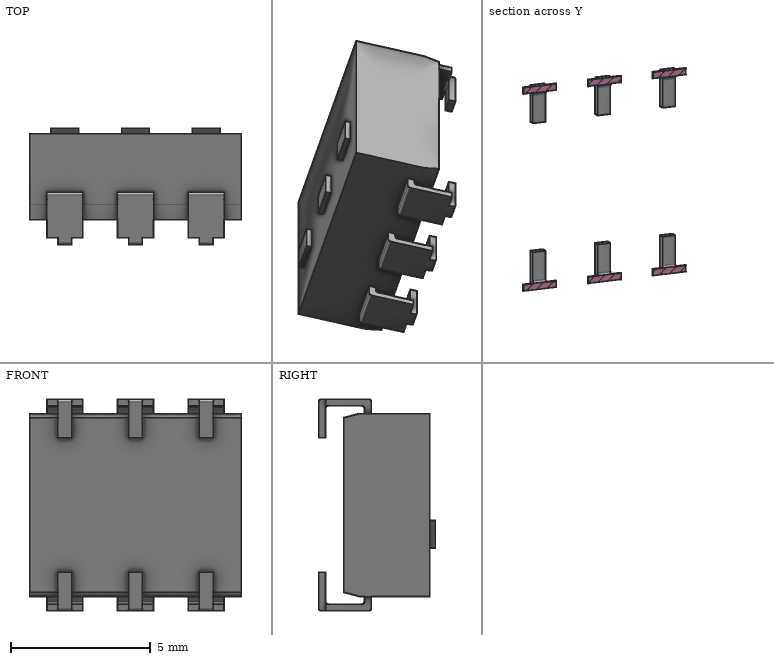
import cadquery as cq
import math

body_width = 7.62
body_depth = 3.1
body_height = 6.58
bevel_depth = 0.56
bevel_angle = 15

slider_size = 1.0
slider_height = 0.2
slider_z = -1.05

pitch = 2.54
lead_span = 7.62
lead_thickness = 0.25
lead_wide = 1.3
lead_narrow = 0.5
lead_tip_length = 1.4
lead_root_setback = 1.0
lead_standoff = 0.9
lead_embed = 0.3
bend_outer_radius = 0.1
bend_inner_radius = 0.1

column_positions = [-pitch, 0, pitch]
front_y = -body_depth / 2
back_y = body_depth / 2


def make_body():
    """Block with shallow bevels along the top and bottom of the front face."""
    half_height = body_height / 2
    bevel_rise = bevel_depth * math.tan(math.radians(bevel_angle))
    bevel_y = front_y + bevel_depth
    return (
        cq.Workplane("YZ")
        .polyline([
            (back_y, -half_height),
            (back_y, half_height),
            (bevel_y, half_height),
            (front_y, half_height - bevel_rise),
            (front_y, bevel_rise - half_height),
            (bevel_y, -half_height),
        ])
        .close()
        .extrude(body_width / 2, both=True)
    )


def make_slider(x):
    """Square slider knob standing on the back face."""
    return (
        cq.Workplane("XY")
        .box(slider_size, slider_height, slider_size)
        .translate((x, back_y + slider_height / 2, slider_z))
    )


def make_bent_strip(width, bend_y, arm_end_y, leg_end_z):
    """L-shaped strip with a rounded bend: an arm along Y at the lead's outer Z, and a leg along Z."""
    toward_arm = math.copysign(1, arm_end_y - bend_y)
    outer_z = lead_span / 2
    inner_y = bend_y + toward_arm * lead_thickness
    inner_z = outer_z - lead_thickness
    strip = (
        cq.Workplane("YZ")
        .polyline([
            (bend_y, leg_end_z),
            (bend_y, outer_z),
            (arm_end_y, outer_z),
            (arm_end_y, inner_z),
            (inner_y, inner_z),
            (inner_y, leg_end_z),
        ])
        .close()
        .extrude(width / 2, both=True)
    )
    outer_corner = cq.selectors.NearestToPointSelector((0, bend_y, outer_z))
    inner_corner = cq.selectors.NearestToPointSelector((0, inner_y, inner_z))
    strip = strip.edges("|X").edges(outer_corner).fillet(bend_outer_radius)
    return strip.edges("|X").edges(inner_corner).fillet(bend_inner_radius)


def make_lead(x):
    """Lead of the +Z end: wide root and shelf, narrow tip bent down in front of the housing."""
    root_y = front_y + lead_root_setback
    tip_y = front_y - lead_standoff
    shelf_front_y = tip_y + lead_thickness
    root_end_z = body_height / 2 - lead_embed
    tip_end_z = lead_span / 2 - lead_tip_length
    root = make_bent_strip(lead_wide, root_y, shelf_front_y, root_end_z)
    tip = make_bent_strip(lead_narrow, tip_y, front_y, tip_end_z)
    return root.union(tip).translate((x, 0, 0))


result = make_body()
for column_x in column_positions:
    upper_lead = make_lead(column_x)
    result = result.union(make_slider(column_x))
    result = result.union(upper_lead)
    result = result.union(upper_lead.mirror("XY"))